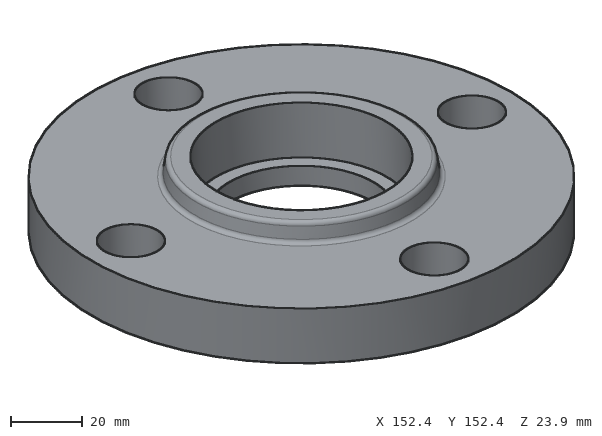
import cadquery as cq

flange_diameter = 152.4
flange_thickness = 17.5
overall_height = 23.9

hub_base_radius = 38.9
hub_top_radius = 37.8
hub_fillet = 1.5

bore_diameter = 52.4
socket_diameter = 62.0
socket_depth = 17.5

bolt_hole_count = 4
bolt_hole_diameter = 19.0
bolt_circle_diameter = 120.7


def make_hub():
    """Cone that narrows upward from the top face of the flange plate."""
    return (
        cq.Workplane("XZ")
        .moveTo(0, flange_thickness)
        .lineTo(hub_base_radius, flange_thickness)
        .lineTo(hub_top_radius, overall_height)
        .lineTo(0, overall_height)
        .close()
        .revolve(360, (0, 0, 0), (0, 1, 0))
    )


def make_body():
    """Flange plate and hub, with the hub's root and upper rim rounded."""
    plate = cq.Workplane("XY").circle(flange_diameter / 2).extrude(flange_thickness)
    body = plate.union(make_hub())
    hub_rim = body.edges(">Z").vals()
    hub_root = body.edges(cq.selectors.RadiusNthSelector(1)).vals()
    return body.newObject(hub_rim + hub_root).fillet(hub_fillet)


def cut_stepped_bore(body):
    """Cut the through bore and its wider pipe socket."""
    top_center = body.faces(">Z").workplane(origin=(0, 0, 0))
    return top_center.cboreHole(bore_diameter, socket_diameter, socket_depth)


def cut_bolt_holes(body):
    """Cut the ring of through holes, the first one on the X axis."""
    holes = (
        cq.Workplane("XY")
        .polarArray(bolt_circle_diameter / 2, 0, 360, bolt_hole_count)
        .circle(bolt_hole_diameter / 2)
        .extrude(flange_thickness)
    )
    return body.cut(holes)


result = cut_bolt_holes(cut_stepped_bore(make_body()))